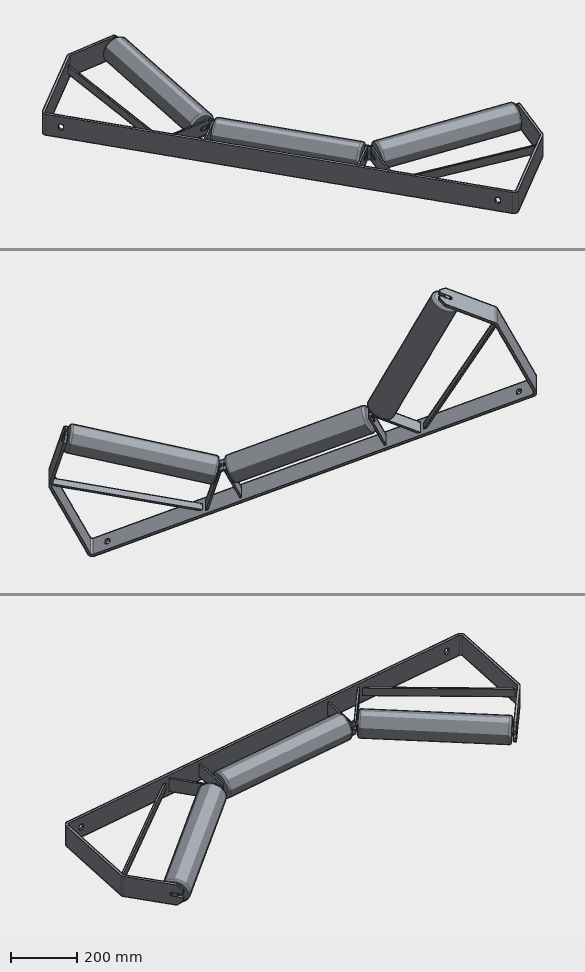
import cadquery as cq
import math


overall_length = 1490.0
frame_width = 80.0
frame_thickness = 8.0
bracket_width = 50.0
brace_width = 30.0
thin_thickness = 6.0
bend_radius = 15.0
trough_angle = 40.0

half_length = overall_length / 2
side_height = 300.0
frame_top = 445.0
tip_chamfer = 20.0
mount_slot_width = 16.0
mount_slot_height = 24.0
mount_slot_x = 684.0

roller_diameter = 90.0
roller_length = 465.0
roller_end_fillet = 7.0
shaft_diameter = 20.0
shaft_flats = 14.0
shaft_to_edge = 27.0
wing_gap = 6.0
centre_gap = 5.0

bracket_top = 128.0
brace_top = 285.0
brace_foot_x = 368.0

slope = math.radians(trough_angle)
axis_direction = cq.Vector(math.cos(slope), -math.sin(slope), 0)
strip_direction = cq.Vector(math.sin(slope), math.cos(slope), 0)

side_corner = cq.Vector(-half_length, side_height, 0)
wing_length = (frame_top - side_height) / strip_direction.y
wing_tip = side_corner + strip_direction * wing_length
wing_seat = wing_tip - strip_direction * shaft_to_edge
wing_roller_centre = wing_seat + axis_direction * (frame_thickness + wing_gap + roller_length / 2)
inner_seat = wing_roller_centre + axis_direction * (roller_length / 2 + wing_gap)

centre_roller_y = bracket_top - shaft_to_edge
bracket_inner_x = -(roller_length / 2 + centre_gap)
bracket_outer_x = bracket_inner_x - thin_thickness


def plate(points, width):
    """Prism over an XY outline, centred on Z = 0 and width deep in Z."""
    return cq.Workplane("XY").polyline(points).close().extrude(width / 2, both=True)


def mirrored(body):
    """Copy of a left-hand body on the right-hand side."""
    return body.mirror("YZ")


def round_bend(body, point, radius):
    """Round the Z edge of a body that passes through an XY point."""
    reach = 0.7
    x, y = point
    box = cq.selectors.BoxSelector(
        (x - reach, y - reach, -frame_width), (x + reach, y + reach, frame_width)
    )
    return body.edges("|Z").edges(box).fillet(radius)


def slot_cutter(seat, through, opening, thickness):
    """Slot for a flatted shaft end: a round floor under parallel sides.

    seat is the shaft axis on one strip face, through points across the strip
    and opening points toward the open end.
    """
    shaft_radius = shaft_diameter / 2
    half_width = shaft_flats / 2
    floor_drop = math.sqrt(shaft_radius**2 - half_width**2)
    open_length = shaft_to_edge + thickness
    slot_plane = cq.Plane(origin=seat, xDir=opening, normal=through)
    return (
        cq.Workplane(slot_plane)
        .moveTo(open_length, -half_width)
        .lineTo(-floor_drop, -half_width)
        .threePointArc((-floor_drop - half_width, 0), (-floor_drop, half_width))
        .lineTo(open_length, half_width)
        .close()
        .extrude(thickness)
    )


def make_frame():
    """Base strip with both ends bent up and then inward, as one bent strip."""
    t = frame_thickness
    inner_corner = (-half_length + t, side_height - t * math.tan(slope / 2))
    inner_tip = wing_tip + axis_direction * t
    left = [
        (-half_length, 0),
        (side_corner.x, side_corner.y),
        (wing_tip.x, wing_tip.y),
        (inner_tip.x, inner_tip.y),
        inner_corner,
        (-half_length + t, t),
    ]
    right = [(-x, y) for x, y in reversed(left)]
    frame = plate(left + right, frame_width)

    inner_radius = bend_radius - t
    for side in (-1, 1):
        frame = round_bend(frame, (side * half_length, 0), bend_radius)
        frame = round_bend(frame, (side * (half_length - t), t), inner_radius)
        frame = round_bend(frame, (side * half_length, side_height), bend_radius)
        frame = round_bend(frame, (-side * inner_corner[0], inner_corner[1]), inner_radius)

    slot = slot_cutter(wing_seat, axis_direction, strip_direction, t)
    chamfers = make_tip_chamfers()
    mount_slots = (
        cq.Workplane("XZ")
        .pushPoints([(-mount_slot_x, 0), (mount_slot_x, 0)])
        .slot2D(mount_slot_height, mount_slot_width, 90)
        .extrude(-t)
    )
    return frame.cut(slot).cut(mirrored(slot)).cut(chamfers).cut(mirrored(chamfers)).cut(mount_slots)


def make_tip_chamfers():
    """Corner wedges to remove from the left wing tip."""
    tip_plane = cq.Plane(origin=wing_tip, xDir=strip_direction, normal=axis_direction)
    half_width = frame_width / 2
    wedges = cq.Workplane(tip_plane)
    for side in (-1, 1):
        corner = [
            (0, side * half_width),
            (-tip_chamfer, side * half_width),
            (0, side * (half_width - tip_chamfer)),
        ]
        wedges = wedges.polyline(corner).close()
    return wedges.extrude(frame_thickness)


def make_bracket():
    """Left inner bracket: a vertical leg and a leg square to the wing roller, joined by a top flange."""
    t = thin_thickness

    def leg_x(y, offset):
        """X of the inclined leg at height y, offset across its thickness."""
        face = inner_seat + axis_direction * offset
        return face.x + (y - face.y) * math.tan(slope)

    base_top = frame_thickness
    flange_bottom = bracket_top - t
    bracket = plate([
        (leg_x(base_top, 0), base_top),
        (leg_x(bracket_top, 0), bracket_top),
        (bracket_inner_x, bracket_top),
        (bracket_inner_x, base_top),
        (bracket_outer_x, base_top),
        (bracket_outer_x, flange_bottom),
        (leg_x(flange_bottom, t), flange_bottom),
        (leg_x(base_top, t), base_top),
    ], bracket_width)
    bracket = round_bend(bracket, (bracket_inner_x, bracket_top), t)
    centre_seat = cq.Vector(bracket_outer_x, centre_roller_y, 0)
    centre_slot = slot_cutter(centre_seat, cq.Vector(1, 0, 0), cq.Vector(0, 1, 0), t)
    wing_slot = slot_cutter(inner_seat, axis_direction, strip_direction, t)
    return bracket.cut(centre_slot).cut(wing_slot)


def make_brace():
    """Left diagonal strip from the side strip down to the base strip."""
    t = thin_thickness
    top = cq.Vector(-half_length + frame_thickness, brace_top, 0)
    foot = cq.Vector(-brace_foot_x, frame_thickness, 0)
    angle = math.atan2(top.y - foot.y, foot.x - top.x)
    return plate([
        (top.x, top.y),
        (foot.x, foot.y),
        (foot.x - t / math.sin(angle), foot.y),
        (top.x, top.y - t / math.cos(angle)),
    ], brace_width)


def make_roller(gap, left_seat_thickness, right_seat_thickness):
    """Roller along X, centred on the origin, with rounded rims and a through shaft.

    The shaft is round across the gap at each end, then flatted over the thickness
    of the strip that holds it.
    """
    shell = (
        cq.Workplane("YZ", origin=(-roller_length / 2, 0, 0))
        .circle(roller_diameter / 2)
        .extrude(roller_length)
        .faces("<X or >X")
        .edges()
        .fillet(roller_end_fillet)
    )
    round_length = roller_length + 2 * gap
    roller = shell.union(
        cq.Workplane("YZ", origin=(-round_length / 2, 0, 0))
        .circle(shaft_diameter / 2)
        .extrude(round_length)
    )
    for side, flat_length in ((-1, left_seat_thickness), (1, right_seat_thickness)):
        flats = cq.Workplane("XY").box(2 * flat_length, shaft_diameter, shaft_flats)
        flatted_end = (
            cq.Workplane("YZ")
            .circle(shaft_diameter / 2)
            .extrude(side * flat_length)
            .intersect(flats)
            .translate((side * round_length / 2, 0, 0))
        )
        roller = roller.union(flatted_end)
    return roller


frame = make_frame()
bracket = make_bracket()
brace = make_brace()
centre_roller = make_roller(centre_gap, thin_thickness, thin_thickness).translate((0, centre_roller_y, 0))
wing_roller = (
    make_roller(wing_gap, frame_thickness, thin_thickness)
    .rotate((0, 0, 0), (0, 0, 1), -trough_angle)
    .translate(wing_roller_centre)
)

bodies = [frame.val(), centre_roller.val()]
for left_body in (bracket, brace, wing_roller):
    bodies += [left_body.val(), mirrored(left_body).val()]

result = cq.Compound.makeCompound(bodies)